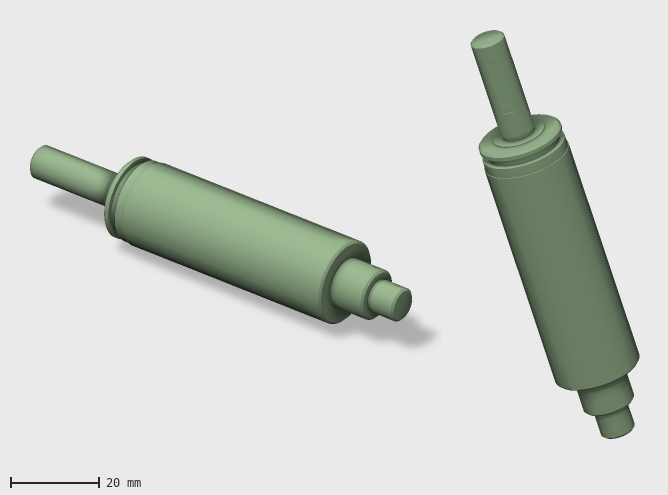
import cadquery as cq

FLAT_START = 4.4
FLAT_END = 17.8
ROD_NECK_START = 23.8
COLLAR_START = 25.0
HEAD_START = 25.3
RING_GROOVE_START = 26.7
RING_GROOVE_END = 28.7
BODY_START = 31.0
BODY_END = 86.7
BOSS_END = 95.7
STUB_NECK_END = 96.6
TOTAL_LENGTH = 102.8

BODY_DIAMETER = 20.0
HEAD_DIAMETER = 19.5
RING_GROOVE_DIAMETER = 17.1
BOSS_DIAMETER = 12.0
COLLAR_DIAMETER = BOSS_DIAMETER
ROD_DIAMETER = 8.0
STUB_DIAMETER = ROD_DIAMETER
NECK_DIAMETER = 7.6

EDGE_CHAMFER = 0.5

FLAT_DEPTH = 0.3


def cylinder(start, end, diameter):
    """Solid cylinder about the X axis between two axial positions."""
    return cq.Workplane("YZ", origin=(start, 0, 0)).circle(diameter / 2).extrude(end - start)


def rod_with_flat():
    """Long rod, chamfered at its free end, with a flat cut into its -Z side."""
    rod = cylinder(0, ROD_NECK_START, ROD_DIAMETER).faces("<X").chamfer(EDGE_CHAMFER)
    flat_length = FLAT_END - FLAT_START
    flat_cut = (
        cq.Workplane("XY", origin=(FLAT_START, 0, -ROD_DIAMETER / 2))
        .box(flat_length, ROD_DIAMETER, FLAT_DEPTH, centered=(False, True, False))
    )
    return rod.cut(flat_cut)


rod = rod_with_flat()
rod_neck = cylinder(ROD_NECK_START, COLLAR_START, NECK_DIAMETER)

collar = cylinder(COLLAR_START, HEAD_START, COLLAR_DIAMETER)
head_lip = cylinder(HEAD_START, RING_GROOVE_START, HEAD_DIAMETER).faces("<X").chamfer(EDGE_CHAMFER)
groove_floor = cylinder(RING_GROOVE_START, RING_GROOVE_END, RING_GROOVE_DIAMETER)
head_seat = cylinder(RING_GROOVE_END, BODY_START, HEAD_DIAMETER)

body = cylinder(BODY_START, BODY_END, BODY_DIAMETER).faces(">X").chamfer(EDGE_CHAMFER)
boss = cylinder(BODY_END, BOSS_END, BOSS_DIAMETER).faces(">X").chamfer(EDGE_CHAMFER)

stub_neck = cylinder(BOSS_END, STUB_NECK_END, NECK_DIAMETER)
stub = cylinder(STUB_NECK_END, TOTAL_LENGTH, STUB_DIAMETER).faces(">X").chamfer(EDGE_CHAMFER)

result = rod
for section in (rod_neck, collar, head_lip, groove_floor, head_seat, body, boss, stub_neck, stub):
    result = result.union(section)